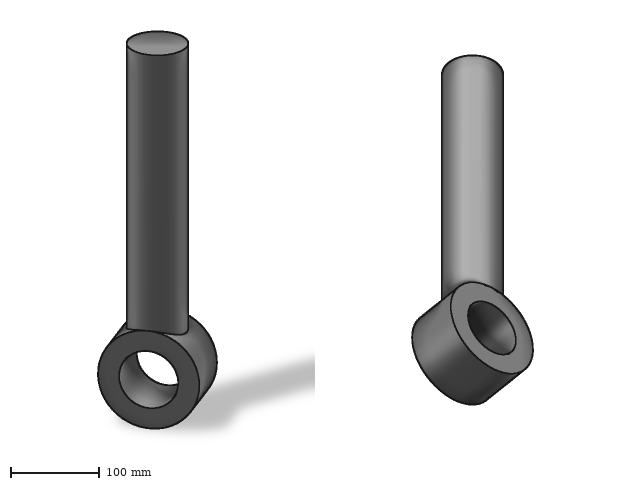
import cadquery as cq

total_height = 460.0
eye_diameter = 120.0
rod_diameter = 70.0
bore_diameter = rod_diameter
eye_width = rod_diameter

eye_radius = eye_diameter / 2
rod_top = total_height - eye_radius


def cylinder_along_y(diameter):
    """Cylinder as long as the eye is wide, centred on the origin."""
    front_face = cq.Workplane("XZ", origin=(0, -eye_width / 2, 0))
    return front_face.circle(diameter / 2).extrude(-eye_width)


rod = cq.Workplane("XY").circle(rod_diameter / 2).extrude(rod_top)

eye = cylinder_along_y(eye_diameter)
bore = cylinder_along_y(bore_diameter)
result = eye.union(rod).cut(bore)